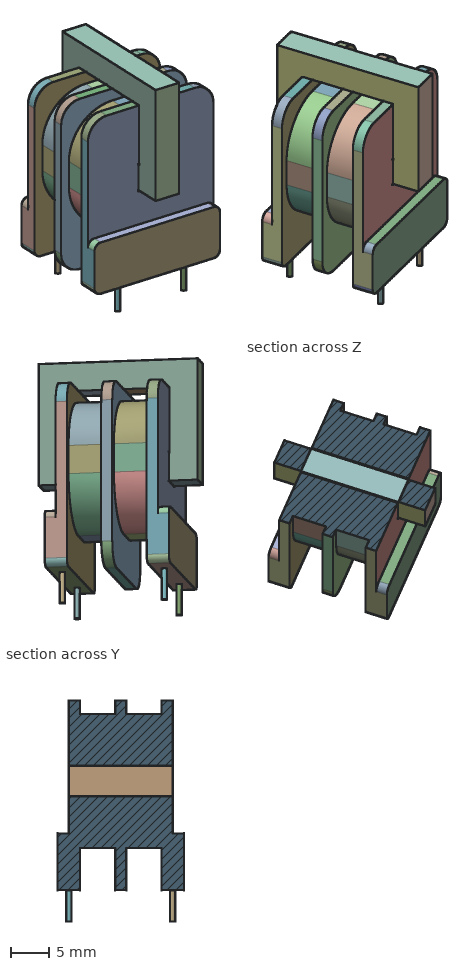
import cadquery as cq

total_height = 32.5
core_length = 21.0
bobbin_depth = 20.0

core_bar = 3.75
core_height = 16.1

flange_thickness = 1.5
flange_corner = 3.0
mid_flange_thickness = 1.45
bore_clearance = 0.1
winding_build = 6.9

block_height = 7.45
block_step = 1.45
block_corner = 1.0
pin_diameter = 0.7
pin_length = 4.05
pin_pitch = 10.5

window_length = core_length - 2 * core_bar
window_height = core_height - 2 * core_bar
bobbin_top = total_height - core_bar
bobbin_height = bobbin_top - pin_length
core_center_z = total_height - core_height / 2
yoke_center_z = total_height - core_height + core_bar / 2
flange_outer_x = window_length / 2
block_width = flange_thickness + block_step
block_center_x = flange_outer_x + block_step - block_width / 2


def box_at(x_size, y_size, z_size, x, z):
    """Box centred on (x, 0, z)."""
    return cq.Workplane("XY").box(x_size, y_size, z_size).translate((x, 0, z))


def rounded_plate(thickness, height, corner, x, z):
    """Full-depth plate normal to X with its four corners rounded."""
    return box_at(thickness, bobbin_depth, height, x, z).edges("|X").fillet(corner)


def make_core():
    frame = box_at(core_length, core_bar, core_height, 0, core_center_z)
    return frame.cut(box_at(window_length, core_bar, window_height, 0, core_center_z))


def make_winding():
    size = core_bar + 2 * winding_build
    length = window_length - 2 * flange_thickness
    block = box_at(length, size, size, 0, yoke_center_z)
    return block.edges("|X").fillet(winding_build)


def make_bobbin():
    flange_z = pin_length + bobbin_height / 2
    block_z = pin_length + block_height / 2
    flange_x = flange_outer_x - flange_thickness / 2
    bobbin = make_winding()
    bobbin = bobbin.union(rounded_plate(mid_flange_thickness, bobbin_height, flange_corner, 0, flange_z))
    for side in (-1, 1):
        flange = rounded_plate(flange_thickness, bobbin_height, flange_corner, side * flange_x, flange_z)
        block = rounded_plate(block_width, block_height, block_corner, side * block_center_x, block_z)
        bobbin = bobbin.union(flange).union(block)
    bore_size = core_bar + 2 * bore_clearance
    return bobbin.cut(box_at(window_length, bore_size, bore_size, 0, yoke_center_z))


def make_pins():
    return (
        cq.Workplane("XY")
        .rarray(2 * block_center_x, pin_pitch, 2, 2)
        .circle(pin_diameter / 2)
        .extrude(pin_length)
    )


result = make_bobbin().union(make_core()).union(make_pins())